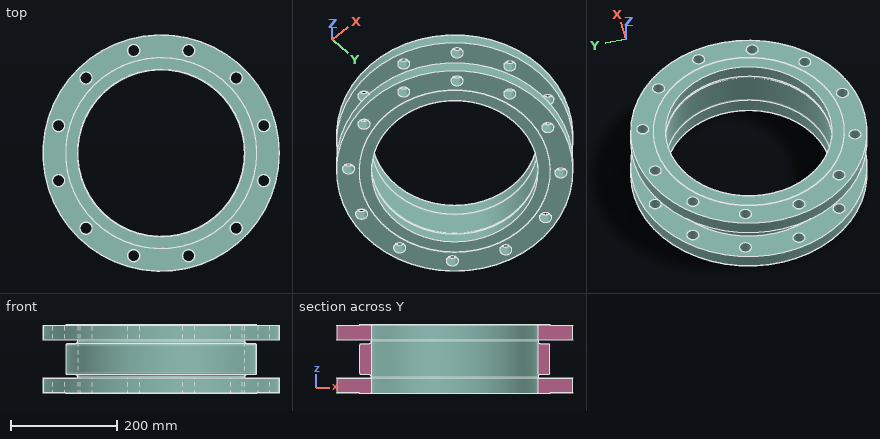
import cadquery as cq

flange_radius = 222.5
total_height = 130.0
bore_radius = 156.5

raised_face_radius = 180.0
raised_face_height = 1.5
flange_thickness = 28.0

bolt_count = 12
bolt_circle_radius = 200.0
bolt_hole_diameter = 22.2

neck_radius = 158.0
band_radius = 179.5
band_height = 58.5
band_corner_radius = 2.5
neck_root_radius = 4.0

half_height = total_height / 2
flange_inner_z = half_height - raised_face_height - flange_thickness
band_end_z = band_height / 2
band_corner_z = band_end_z - band_corner_radius
root_start_z = band_end_z + neck_root_radius


def disc(radius, bottom_z, height):
    """Solid cylinder about the Z axis, standing on the level bottom_z."""
    return cq.Workplane("XY").workplane(offset=bottom_z).circle(radius).extrude(height)


def neck_with_band():
    """Neck between the flanges, blended into the rounded central band."""
    profile = (
        cq.Workplane("XZ")
        .moveTo(0, -flange_inner_z)
        .lineTo(neck_radius, -flange_inner_z)
        .lineTo(neck_radius, -root_start_z)
        .radiusArc((neck_radius + neck_root_radius, -band_end_z), neck_root_radius)
        .lineTo(band_radius - band_corner_radius, -band_end_z)
        .radiusArc((band_radius, -band_corner_z), -band_corner_radius)
        .lineTo(band_radius, band_corner_z)
        .radiusArc((band_radius - band_corner_radius, band_end_z), -band_corner_radius)
        .lineTo(neck_radius + neck_root_radius, band_end_z)
        .radiusArc((neck_radius, root_start_z), neck_root_radius)
        .lineTo(neck_radius, flange_inner_z)
        .lineTo(0, flange_inner_z)
        .close()
    )
    return profile.revolve(360, (0, 0, 0), (0, 1, 0))


def upper_flange():
    """Flange above the neck, topped by its raised face."""
    plate = disc(flange_radius, flange_inner_z, flange_thickness)
    raised_face = disc(raised_face_radius, flange_inner_z + flange_thickness, raised_face_height)
    return plate.union(raised_face)


def bolt_holes():
    """Cylinders that pass through both flanges."""
    half_pitch_angle = 360 / bolt_count / 2
    return (
        cq.Workplane("XY")
        .workplane(offset=-half_height)
        .polarArray(bolt_circle_radius, half_pitch_angle, 360, bolt_count)
        .circle(bolt_hole_diameter / 2)
        .extrude(total_height)
    )


flange = upper_flange()
body = neck_with_band().union(flange).union(flange.mirror("XY"))
bore = disc(bore_radius, -half_height, total_height)
result = body.cut(bore).cut(bolt_holes())